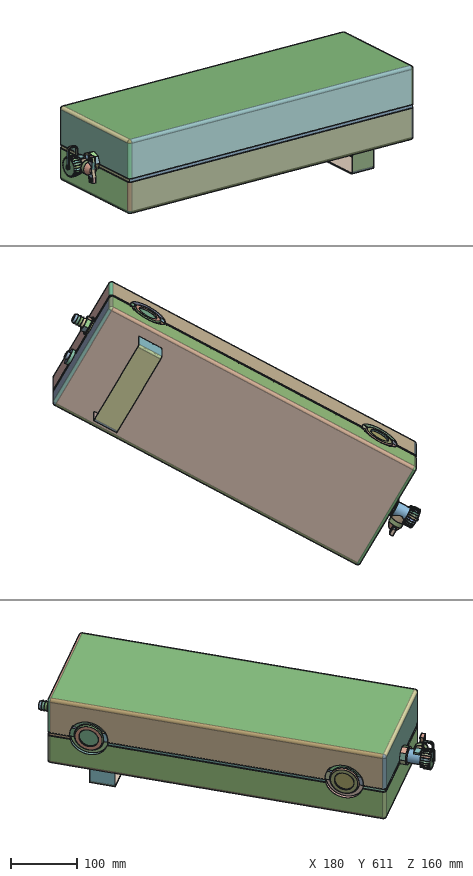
import cadquery as cq

box_width = 180.0
box_length = 530.0
box_height = 120.0
box_fillet = 5.0
mid_height = box_height / 2

overcut = 6

seam_top = mid_height - 2.5
seam_height = 5.5
seam_depth = 2.0

port_spacing = 400.0
port_radius = 30.0
port_depth = 5.0
boss_radius = 23.0
boss_chamfer = 2.0
boss_hole_radius = 15.0
boss_hole_depth = 2.5
lip_depth = 1.0
lip_height = 15.0

bracket_width = 140.0
bracket_drop = 40.0
bracket_length = 40.0
bracket_centre_y = 184.5
bracket_sheet = 2.0
bracket_bend = 3.5

total_length = 611
hose_tail_length = 29.5
rear_face_y = box_length / 2
front_face_y = -box_length / 2
valve_length = total_length - box_length - hose_tail_length

rear_fitting_offset = 29.0
base_radius = 13.5
base_length = 2.5
flange_radius = 14.5
flange_end = 3.5
hex_flats = 21.5
hex_end = 11.0
tail_radius = 6.0
barb_radius = 8.0
barb_count = 4
plug_flange_radius = 12.0
plug_flange_length = 5.5
plug_radius = 6.0
plug_length = 10.5

nut_flats = 27.0
rim_radius = 14.0
nut_sides = 8
nut_flats_end = 9.0
nut_end = 11.0
body_radius = 11.0
pad_width = 12.0
pad_length = 10.0
pad_rise = 1.0
cap_start = 32.0
cap_end = 47.5
cap_radius = 14.5
cap_band_radius = 16.0
cap_bands = ((37.0, 6.0), (45.0, 2.0))
flute_count = 24
flute_radius = 2.0

strap_width = 3.5
strap_sheet = 2.0
strap_rise = 32.5
strap_bend = 6.0
strap_tab_radius = 3.5
rivet_radius = 2.0

handle_y = front_face_y - 24.5
neck_radius = 10.5
hub_radius = 11.0
hub_start = 14.5
hub_end = 22.0
dome_end = 31.0
dome_end_radius = 6.0
wing_start = 23.0
wing_end = 33.5
wing_root = 12.0
wing_thickness = 6.0
wing_span = 41.5
wing_tilt = 3
wing_grooves = 3
wing_groove_pitch = 2.5
wing_groove_size = 0.5


def on_plane(x, y, z, x_dir, normal):
    return cq.Workplane(cq.Plane(origin=(x, y, z), xDir=x_dir, normal=normal))


def rear_plane(x, distance=0):
    """Sketch plane facing +Y, a given distance behind the rear face."""
    return on_plane(x, rear_face_y + distance, mid_height, (1, 0, 0), (0, 1, 0))


def front_plane(distance=0):
    """Sketch plane facing -Y on the valve axis, a given distance before the front face."""
    return on_plane(0, front_face_y - distance, mid_height, (1, 0, 0), (0, -1, 0))


def side_plane(x, y):
    """Sketch plane facing +X at the height of the fittings."""
    return on_plane(x, y, mid_height, (0, 1, 0), (1, 0, 0))


def housing():
    body = cq.Workplane("XY").box(box_width, box_length, box_height, centered=(True, True, False))
    body = body.edges().fillet(box_fillet)
    seam = (
        cq.Workplane("XY", origin=(0, 0, seam_top - seam_height))
        .rect(box_width + overcut, box_length + overcut)
        .rect(box_width - 2 * seam_depth, box_length - 2 * seam_depth)
        .extrude(seam_height)
    )
    return body.cut(seam)


def port_recess(y):
    """Round recess with a lip left standing on both sides of its core, just above the seam."""
    recess = side_plane(-box_width / 2 - overcut, y).circle(port_radius).extrude(port_depth + overcut)
    lip_thickness = port_depth - lip_depth
    lip_x = -box_width / 2 + lip_depth + lip_thickness / 2
    lip = cq.Workplane("XY", origin=(lip_x, y, seam_top + lip_height / 2))
    lip = lip.box(lip_thickness, 2 * port_radius, lip_height)
    core = side_plane(-box_width / 2, y).circle(boss_radius).extrude(port_depth)
    return recess.cut(lip.cut(core))


def port_boss(y):
    """Boss filling the middle of a recess up to the housing face, with a shallow blind hole."""
    boss = side_plane(-box_width / 2, y).circle(boss_radius).extrude(port_depth)
    boss = boss.faces("<X").chamfer(boss_chamfer)
    hole = side_plane(-box_width / 2, y).circle(boss_hole_radius).extrude(boss_hole_depth)
    return boss.cut(hole)


def bracket():
    inner_width = bracket_width - 2 * bracket_sheet
    centre = (0, bracket_centre_y, -bracket_drop)
    outer = cq.Workplane("XY", origin=centre).box(
        bracket_width, bracket_length, bracket_drop + bracket_sheet, centered=(True, True, False)
    )
    outer = outer.edges("|Y and <Z").fillet(bracket_bend)
    inner = (
        cq.Workplane("XY", origin=centre)
        .workplane(offset=bracket_sheet)
        .box(inner_width, bracket_length, bracket_drop, centered=(True, True, False))
        .edges("|Y and <Z")
        .fillet(bracket_bend - bracket_sheet)
    )
    return outer.cut(inner)


def hose_tail():
    """Flanged hexagon with a hose barb of saw-tooth rings."""
    x = -rear_fitting_offset
    tail = rear_plane(x).circle(base_radius).extrude(base_length)
    tail = tail.union(rear_plane(x, base_length).circle(flange_radius).extrude(flange_end - base_length))
    hexagon = rear_plane(x, flange_end).polygon(6, hex_flats, circumscribed=True)
    tail = tail.union(hexagon.extrude(hex_end - flange_end))
    barb_length = (hose_tail_length - hex_end) / barb_count
    for i in range(barb_count):
        barb = rear_plane(x, hex_end + i * barb_length).circle(barb_radius)
        barb = barb.workplane(offset=barb_length).circle(tail_radius).loft()
        tail = tail.union(barb)
    return tail


def plug():
    flange = rear_plane(rear_fitting_offset).circle(plug_flange_radius).extrude(plug_flange_length)
    return flange.union(rear_plane(rear_fitting_offset).circle(plug_radius).extrude(plug_length))


def valve_body():
    valve = front_plane().polygon(nut_sides, nut_flats, circumscribed=True).extrude(nut_flats_end)
    valve = valve.rotate((0, 0, mid_height), (0, 1, mid_height), 180 / nut_sides)
    valve = valve.union(front_plane(nut_flats_end).circle(rim_radius).extrude(nut_end - nut_flats_end))
    valve = valve.union(front_plane().circle(body_radius).extrude(cap_start))
    pad = cq.Workplane("XY", origin=(0, handle_y, mid_height)).box(
        pad_width, pad_length, body_radius + pad_rise, centered=(True, True, False)
    )
    return valve.union(pad)


def cap():
    """Round cap with raised bands, fluted along its axis for grip."""
    solid = front_plane(cap_start).circle(cap_radius).extrude(cap_end - cap_start)
    for start, length in cap_bands:
        solid = solid.union(front_plane(start).circle(cap_band_radius).extrude(length))
    flutes = (
        front_plane(cap_start)
        .polarArray(cap_band_radius, 0, 360, flute_count)
        .circle(flute_radius)
        .extrude(cap_end - cap_start)
    )
    return solid.cut(flutes)


def strap():
    """Strap bent into an arch from the back of the cap over to its front, with a tab and rivet."""
    inside_y = front_face_y - cap_start
    outside_y = front_face_y - cap_end - strap_sheet
    strap_length = inside_y - outside_y
    base = cq.Workplane("XY", origin=(0, (inside_y + outside_y) / 2, mid_height))
    outer = base.box(strap_width, strap_length, strap_rise, centered=(True, True, False))
    outer = outer.edges("|X and >Z").fillet(strap_bend)
    inner = base.box(
        strap_width,
        strap_length - 2 * strap_sheet,
        strap_rise - strap_sheet,
        centered=(True, True, False),
    )
    inner = inner.edges("|X and >Z").fillet(strap_bend - strap_sheet)
    band = outer.cut(inner)
    tab = front_plane(cap_end).circle(strap_tab_radius).extrude(strap_sheet)
    rivet = front_plane(cap_end).circle(rivet_radius).extrude(valve_length - cap_end)
    return band.union(tab).union(rivet)


def handle():
    """Neck, hub and dome turned about X, with one wing above and one below."""
    turned = (
        cq.Workplane("XY", origin=(0, handle_y, mid_height))
        .polyline([
            (0, 0),
            (0, neck_radius),
            (hub_start, neck_radius),
            (hub_start, hub_radius),
            (hub_end, hub_radius),
            (dome_end, dome_end_radius),
            (dome_end, 0),
        ])
        .close()
        .revolve(360, (0, 0, 0), (1, 0, 0))
    )
    half_span = wing_span / 2
    wing = (
        cq.Workplane("XZ", origin=(0, handle_y, mid_height))
        .polyline([
            (hub_start, 0),
            (wing_start, wing_root),
            (wing_start, half_span),
            (wing_end, half_span),
            (wing_end, wing_root),
            (dome_end, 0),
        ])
        .close()
        .extrude(wing_thickness / 2, both=True)
    )
    for i in range(wing_grooves):
        for side in (-1, 1):
            groove_y = handle_y + side * wing_thickness / 2
            groove_z = mid_height + half_span - (i + 1) * wing_groove_pitch
            groove = cq.Workplane("XY", origin=(wing_end, groove_y, groove_z))
            wing = wing.cut(groove.box(wing_end, 2 * wing_groove_size, wing_groove_size))
    wings = wing.union(wing.mirror("XY", (0, 0, mid_height)))
    hub_middle = (hub_end + dome_end) / 2
    wings = wings.rotate((hub_middle, 0, mid_height), (hub_middle, -1, mid_height), wing_tilt)
    return turned.union(wings)


result = housing()
for port_y in (-port_spacing / 2, port_spacing / 2):
    result = result.cut(port_recess(port_y)).union(port_boss(port_y))
for feature in (bracket(), hose_tail(), plug(), valve_body(), cap(), strap(), handle()):
    result = result.union(feature)